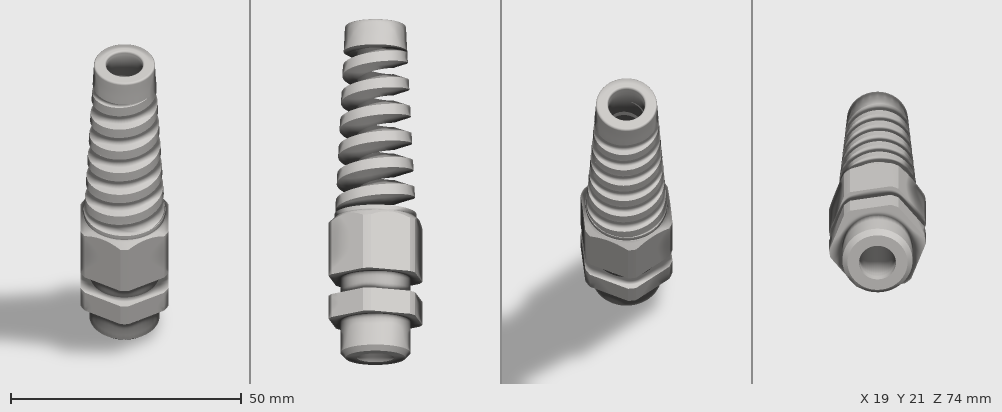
import cadquery as cq
import math

THREAD_TOP = 8.0
LOCK_HEX_TOP = 13.15
NECK_TOP = 17.55
CAP_HEX_TOP = 30.9
COLLAR_TOP = 32.0
SPRING_TOP = 68.2
TOTAL_HEIGHT = 74.0

BORE_DIAMETER = 8.0
THREAD_DIAMETER = 15.2
THREAD_CHAMFER = 1.1
NECK_DIAMETER = 15.1
COLLAR_DIAMETER = 17.7

ACROSS_FLATS = 19.0
CORNER_DIAMETER = 21.0
CAP_CHAMFER = 1.45

SLEEVE_BASE_RADIUS = 8.75
SLEEVE_TOP_RADIUS = 6.6
RIM_FILLET = 0.5
PITCH = 6.0
LAND_WIDTH = 2.3
FLANK_ANGLE = math.radians(20)
LAND_HEIGHT_AT_MINUS_X = 63.75
GROOVE_OVERCUT = 1.0

TAPER = (SLEEVE_BASE_RADIUS - SLEEVE_TOP_RADIUS) / (TOTAL_HEIGHT - COLLAR_TOP)


def sleeve_radius(z):
    """Outer radius of the tapered sleeve at height z."""
    return SLEEVE_BASE_RADIUS - TAPER * (z - COLLAR_TOP)


def cylinder(diameter, bottom, top):
    return cq.Workplane("XY").workplane(offset=bottom).circle(diameter / 2).extrude(top - bottom)


def hexagon(bottom, top):
    """Hexagonal prism with its corners turned to CORNER_DIAMETER."""
    across_corners = ACROSS_FLATS / math.cos(math.pi / 6)
    prism = (
        cq.Workplane("XY")
        .workplane(offset=bottom)
        .transformed(rotate=(0, 0, 30))
        .polygon(6, across_corners)
        .extrude(top - bottom)
    )
    return prism.intersect(cylinder(CORNER_DIAMETER, bottom, top))


def cap_hexagon():
    """Upper hexagon with a conical chamfer around its top."""
    envelope = cylinder(CORNER_DIAMETER, NECK_TOP, CAP_HEX_TOP).faces(">Z").chamfer(CAP_CHAMFER)
    return hexagon(NECK_TOP, CAP_HEX_TOP).intersect(envelope)


def tapered_section(bottom, top):
    """Solid slice of the sleeve cone between two heights."""
    outline = [
        (0, bottom),
        (sleeve_radius(bottom), bottom),
        (sleeve_radius(top), top),
        (0, top),
    ]
    return cq.Workplane("XZ").polyline(outline).close().revolve(360, (0, 0), (0, 1))


def helical_groove():
    """Right-handed V groove that follows the taper of the sleeve and overruns both of its ends."""
    groove_at_plus_x = LAND_HEIGHT_AT_MINUS_X
    turns_below = math.ceil((groove_at_plus_x - COLLAR_TOP) / PITCH) + 1
    turns_above = math.ceil((SPRING_TOP - groove_at_plus_x) / PITCH) + 1
    start = groove_at_plus_x - turns_below * PITCH
    rise = (turns_below + turns_above) * PITCH

    slope = math.tan(FLANK_ANGLE)
    half_mouth = (PITCH - LAND_WIDTH) / 2
    depth = half_mouth / slope
    mouth_radius = sleeve_radius(start) + GROOVE_OVERCUT
    root_radius = sleeve_radius(start) - depth
    half_width = half_mouth + GROOVE_OVERCUT * slope

    def helix(radius, z):
        slant = math.hypot(1, TAPER)
        cone_angle = -math.degrees(math.atan(TAPER))
        wire = cq.Wire.makeHelix(PITCH * slant, rise * slant, radius, angle=cone_angle)
        return wire.Edges()[0].moved(cq.Location(cq.Vector(0, 0, z)))

    rails = [
        helix(root_radius, start),
        helix(mouth_radius, start - half_width),
        helix(mouth_radius, start + half_width),
    ]
    sides = [cq.Face.makeRuledSurface(rails[i - 1], rails[i]) for i in range(len(rails))]

    def end_face(position):
        corners = [rail.positionAt(position) for rail in rails]
        return cq.Face.makeFromWires(cq.Wire.makePolygon(corners, close=True))

    ends = [end_face(0), end_face(1)]
    return cq.Workplane(cq.Solid.makeSolid(cq.Shell.makeShell(sides + ends)))


def spring():
    """Coil left between the turns of the groove; the bore is cut last, after the groove has reached it."""
    grooved = tapered_section(COLLAR_TOP, SPRING_TOP).cut(helical_groove())
    return grooved.cut(cylinder(BORE_DIAMETER, COLLAR_TOP, SPRING_TOP))


def end_ring():
    """Plain ring at the top of the sleeve, rounded at its outer and bore edges."""
    ring = tapered_section(SPRING_TOP, TOTAL_HEIGHT).cut(
        cylinder(BORE_DIAMETER, SPRING_TOP, TOTAL_HEIGHT)
    )
    return ring.faces(">Z").edges().fillet(RIM_FILLET)


def gland_body():
    """Thread, hexagons, neck and collar below the sleeve, with the through bore."""
    thread = cylinder(THREAD_DIAMETER, 0, THREAD_TOP).faces("<Z").chamfer(THREAD_CHAMFER)
    body = (
        thread.union(hexagon(THREAD_TOP, LOCK_HEX_TOP))
        .union(cylinder(NECK_DIAMETER, LOCK_HEX_TOP, NECK_TOP))
        .union(cap_hexagon())
        .union(cylinder(COLLAR_DIAMETER, CAP_HEX_TOP, COLLAR_TOP))
    )
    return body.cut(cylinder(BORE_DIAMETER, 0, COLLAR_TOP))


result = gland_body().union(spring()).union(end_ring(), clean=False)